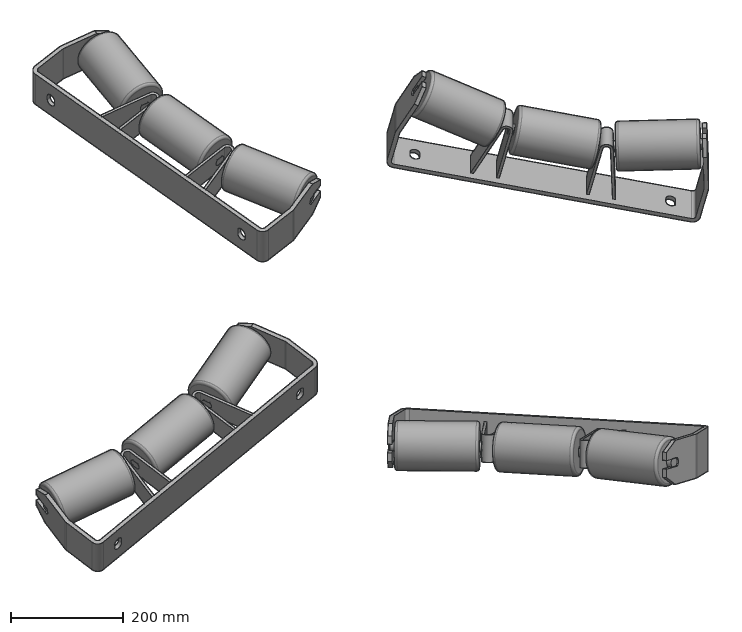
import cadquery as cq
import math

FRAME_LENGTH = 570.0
STRAP_WIDTH = 80.0
STRAP_THICKNESS = 8.0
BEND_RADIUS = 14.0
ARM_REACH = 29.5
ARM_CORNER_ANGLE = 30.0

MOUNT_SPACING = 465.5
MOUNT_SLOT_WIDTH = 17.5
MOUNT_SLOT_HEIGHT = 27.0

ROLLER_DIAMETER = 89.0
ROLLER_LENGTH = 150.0
ROLLER_EDGE_RADIUS = 5.0
TROUGH_ANGLE = 15.0
MIDDLE_ROLLER_Y = 101.5
SIDE_ROLLER_X = 182.5
SIDE_ROLLER_Y = 125.5

AXLE_DIAMETER = 20.0
AXLE_FLATS = 15.5
AXLE_COLLAR = 3.0
SUPPORT_DISTANCE = 79.0

HAIRPIN_WIDTH = 50.0
HAIRPIN_THICKNESS = 5.0
HAIRPIN_RADIUS = 12.0

ARM_OUTER = SUPPORT_DISTANCE + STRAP_THICKNESS
LEG_INNER = SUPPORT_DISTANCE + HAIRPIN_THICKNESS
AXLE_REACH = LEG_INNER
TILT = math.radians(TROUGH_ANGLE)


def at_left_roller(shape):
    """Move a shape from its own axle frame (axle along X, at the origin) to the left roller."""
    return shape.rotate((0, 0, 0), (0, 0, 1), -TROUGH_ANGLE).translate((-SIDE_ROLLER_X, SIDE_ROLLER_Y, 0))


def left_roller_point(along, across):
    """Place in XY of a point given along and across the axle of the left roller."""
    x = -SIDE_ROLLER_X + along * math.cos(TILT) + across * math.sin(TILT)
    y = SIDE_ROLLER_Y - along * math.sin(TILT) + across * math.cos(TILT)
    return (x, y)


def tilted_face_y(along, x):
    """Y where the support face at this distance along the left axle crosses a given X."""
    face_x, face_y = left_roller_point(along, 0)
    return face_y + (x - face_x) / math.tan(TILT)


def tilted_face_x(along, y):
    """X where the support face at this distance along the left axle crosses a given Y."""
    face_x, face_y = left_roller_point(along, 0)
    return face_x + (y - face_y) * math.tan(TILT)


def mirrored(shape):
    """Opposite-hand copy for the right side of the frame."""
    return shape.mirror("YZ")


def rod(diameter, start, stop):
    """Round bar along X."""
    return cq.Workplane("YZ", origin=(start, 0, 0)).circle(diameter / 2).extrude(stop - start)


def axle_end(start, stop):
    """Flattened stretch of axle along X."""
    flats = cq.Workplane("YZ", origin=(start, 0, 0)).rect(AXLE_DIAMETER, AXLE_FLATS).extrude(stop - start)
    return rod(AXLE_DIAMETER, start, stop).intersect(flats)


def make_roller():
    """Roller with its axle along X, centred on the origin."""
    half_length = ROLLER_LENGTH / 2
    collar_end = half_length + AXLE_COLLAR
    barrel = rod(ROLLER_DIAMETER, -half_length, half_length).edges("%CIRCLE").fillet(ROLLER_EDGE_RADIUS)
    collars = rod(AXLE_DIAMETER, -collar_end, collar_end)
    axle = axle_end(-AXLE_REACH, AXLE_REACH)
    return barrel.union(collars).union(axle)


def arm_corner(side):
    """Wedge cut from one corner of the arm, above (side 1) or below (side -1) the axle."""
    edge_z = side * STRAP_WIDTH / 2
    drop = ARM_REACH * math.tan(math.radians(ARM_CORNER_ANGLE))
    return (
        cq.Workplane("YZ", origin=(-ARM_OUTER, 0, 0))
        .polyline([(0, edge_z), (ARM_REACH, edge_z), (ARM_REACH, edge_z - side * drop)])
        .close()
        .extrude(STRAP_THICKNESS)
    )


def axle_slot():
    """Slot from the axle seat to the free end of the arm."""
    seat = axle_end(-ARM_OUTER, -SUPPORT_DISTANCE)
    mouth = cq.Workplane("XY").box(
        STRAP_THICKNESS, ARM_REACH, AXLE_FLATS, centered=(False, False, True)
    )
    return seat.union(mouth.translate((-ARM_OUTER, 0, 0)))


def make_frame():
    """Strap bent around the rollers, with axle slots in the arms and mounting slots in the back."""
    outer_x = -FRAME_LENGTH / 2
    inner_x = outer_x + STRAP_THICKNESS
    outer_heel = (outer_x, 0)
    outer_knee = (outer_x, tilted_face_y(-ARM_OUTER, outer_x))
    inner_heel = (inner_x, STRAP_THICKNESS)
    inner_knee = (inner_x, tilted_face_y(-SUPPORT_DISTANCE, inner_x))
    left_half = [
        outer_heel,
        outer_knee,
        left_roller_point(-ARM_OUTER, ARM_REACH),
        left_roller_point(-SUPPORT_DISTANCE, ARM_REACH),
        inner_knee,
        inner_heel,
    ]
    right_half = [(-x, y) for x, y in reversed(left_half)]
    frame = cq.Workplane("XY").polyline(left_half + right_half).close().extrude(STRAP_WIDTH / 2, both=True)

    inner_radius = BEND_RADIUS - STRAP_THICKNESS
    bends = [
        (outer_heel, BEND_RADIUS),
        (outer_knee, BEND_RADIUS),
        (inner_heel, inner_radius),
        (inner_knee, inner_radius),
    ]
    for (x, y), radius in bends:
        for side in (-1, 1):
            corner = cq.selectors.NearestToPointSelector((side * x, y, 0))
            frame = frame.edges("|Z").edges(corner).fillet(radius)

    for cutter in (arm_corner(1), arm_corner(-1), axle_slot()):
        left_cutter = at_left_roller(cutter)
        frame = frame.cut(left_cutter).cut(mirrored(left_cutter))

    mount_slots = (
        cq.Workplane("XZ")
        .pushPoints([(-MOUNT_SPACING / 2, 0), (MOUNT_SPACING / 2, 0)])
        .slot2D(MOUNT_SLOT_HEIGHT, MOUNT_SLOT_WIDTH, 90)
        .extrude(-STRAP_THICKNESS)
    )
    return frame.cut(mount_slots)


def make_left_hairpin():
    """Bent plate with one upright leg and one leg square to the left axle."""
    inner_radius = HAIRPIN_RADIUS - HAIRPIN_THICKNESS
    foot_y = STRAP_THICKNESS

    bend_x = -SUPPORT_DISTANCE - HAIRPIN_RADIUS
    bend_y = tilted_face_y(SUPPORT_DISTANCE + HAIRPIN_RADIUS, bend_x)

    def bend_point(radius, angle):
        return (bend_x + radius * math.cos(angle), bend_y + radius * math.sin(angle))

    tilted_tangent = math.pi - TILT
    crown = math.pi / 2
    hairpin = (
        cq.Workplane("XY")
        .moveTo(-SUPPORT_DISTANCE, foot_y)
        .lineTo(*bend_point(HAIRPIN_RADIUS, 0))
        .threePointArc(bend_point(HAIRPIN_RADIUS, crown), bend_point(HAIRPIN_RADIUS, tilted_tangent))
        .lineTo(tilted_face_x(SUPPORT_DISTANCE, foot_y), foot_y)
        .lineTo(tilted_face_x(LEG_INNER, foot_y), foot_y)
        .lineTo(*bend_point(inner_radius, tilted_tangent))
        .threePointArc(bend_point(inner_radius, crown), bend_point(inner_radius, 0))
        .lineTo(-LEG_INNER, foot_y)
        .close()
        .extrude(HAIRPIN_WIDTH / 2, both=True)
    )
    middle_seat = axle_end(-LEG_INNER, -SUPPORT_DISTANCE).translate((0, MIDDLE_ROLLER_Y, 0))
    side_seat = at_left_roller(axle_end(SUPPORT_DISTANCE, LEG_INNER))
    return hairpin.cut(middle_seat).cut(side_seat)


frame = make_frame()

left_hairpin = make_left_hairpin()
hairpins = [left_hairpin, mirrored(left_hairpin)]

middle_roller = make_roller().translate((0, MIDDLE_ROLLER_Y, 0))
left_roller = at_left_roller(make_roller())
rollers = [left_roller, middle_roller, mirrored(left_roller)]

bodies = [frame, *hairpins, *rollers]
result = cq.Compound.makeCompound([body.val() for body in bodies])